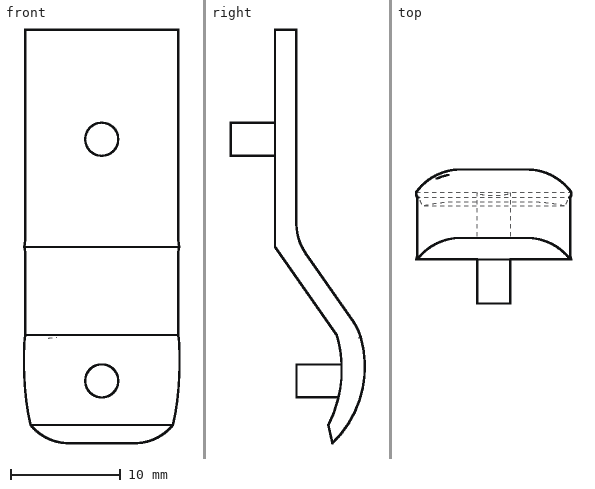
import cadquery as cq
import math

height = 37.67
wall = 1.95
flat_width = 6.03
edge_radius = 4.97
bend_radius = 5.0
block_depth = 11.3
trim_width = 14.7
half_block_width = flat_width / 2 + edge_radius

bend_angle = math.radians(35)
upper_bend_z = 17.9
lower_bend_z = 9.87

curl_peak_y = 8.2
curl_peak_z = 6.97
inner_curl_radius = 10.92
tip_y = 5.25
lip_y = 4.85
lip_z = 1.65
overrun_angle = math.radians(55)

pin_diameter = 3.0
pin_length = 4.03
pin_embed = 0.55
upper_pin_z = 27.7
lower_pin_z = 5.7
lower_pin_end_y = 1.95
lower_pin_seat_y = 6.03

peak_to_tip = curl_peak_y - tip_y
curl_radius = (curl_peak_z**2 + peak_to_tip**2) / (2 * peak_to_tip)
curl_center_y = curl_peak_y - curl_radius

outer_corner_z = upper_bend_z + wall * math.tan(bend_angle / 2)
slope_distance = (
    (wall - curl_center_y) * math.cos(bend_angle)
    + (outer_corner_z - curl_peak_z) * math.sin(bend_angle)
)
crease_angle = bend_angle - math.acos(slope_distance / curl_radius)


def point_on_curl(angle):
    """Point of the outer curl at an angle above +Y."""
    return (
        curl_center_y + curl_radius * math.cos(angle),
        curl_peak_z + curl_radius * math.sin(angle),
    )


def make_rounded_block():
    """Thick block with the bent outer face: sides rounded first, then the two bends."""
    crease = point_on_curl(crease_angle)
    curl_end = point_on_curl(-overrun_angle)
    block = (
        cq.Workplane("YZ")
        .moveTo(-block_depth, height)
        .lineTo(wall, height)
        .lineTo(wall, outer_corner_z)
        .lineTo(*crease)
        .threePointArc(point_on_curl((crease_angle - overrun_angle) / 2), curl_end)
        .lineTo(-block_depth, curl_end[1])
        .close()
        .extrude(half_block_width, both=True)
    )
    block = block.faces(">X or <X").edges("not(|Y or <Y)").fillet(edge_radius)
    trim = cq.Workplane("YZ").rect(4 * height, 4 * height).extrude(trim_width / 2, both=True)
    block = block.intersect(trim)
    for y, z in ((wall, outer_corner_z), crease):
        nearest = cq.selectors.NearestToPointSelector((0, y, z))
        block = block.edges(nearest).fillet(bend_radius)
    return block


def make_inner_cutter():
    """Everything on the -Y side of the inner face and of the face at the tip."""
    slope_end_y = (upper_bend_z - lower_bend_z) * math.tan(bend_angle)
    below_tip = block_depth
    below_tip_y = tip_y + (tip_y - lip_y) * below_tip / lip_z
    return (
        cq.Workplane("YZ")
        .moveTo(0, height)
        .lineTo(0, upper_bend_z)
        .lineTo(slope_end_y, lower_bend_z)
        .radiusArc((lip_y, lip_z), inner_curl_radius)
        .lineTo(below_tip_y, -below_tip)
        .lineTo(-block_depth, -below_tip)
        .lineTo(-block_depth, height)
        .close()
        .extrude(half_block_width, both=True)
    )


def make_pin(z, end_y, seat_y):
    """Round pin along Y from its free end into the plate."""
    return (
        cq.Workplane("XZ", origin=(0, end_y, 0))
        .center(0, z)
        .circle(pin_diameter / 2)
        .extrude(end_y - seat_y - pin_embed)
    )


plate = make_rounded_block().cut(make_inner_cutter())
upper_pin = make_pin(upper_pin_z, -pin_length, 0)
lower_pin = make_pin(lower_pin_z, lower_pin_end_y, lower_pin_seat_y)
result = plate.union(upper_pin).union(lower_pin)